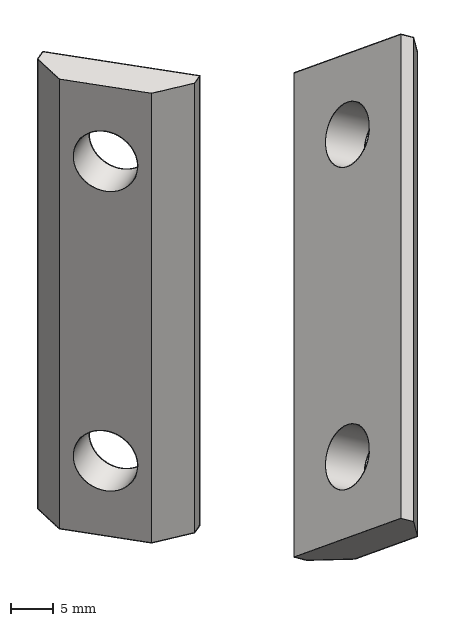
import cadquery as cq

width = 19.5
thickness = 6
length = 60

bevel = 4.0

hole_diameter = 8.0
hole_end_distance = 10.0
hole_spacing = length - 2 * hole_end_distance

bar = cq.Workplane("XY").box(width, thickness, length)

beveled_bar = bar.faces("<Y").edges("|Z").chamfer(bevel)

result = (
    beveled_bar.faces("<Y")
    .workplane(centerOption="CenterOfBoundBox")
    .rarray(0.6, hole_spacing, 1, 2)
    .hole(hole_diameter)
)